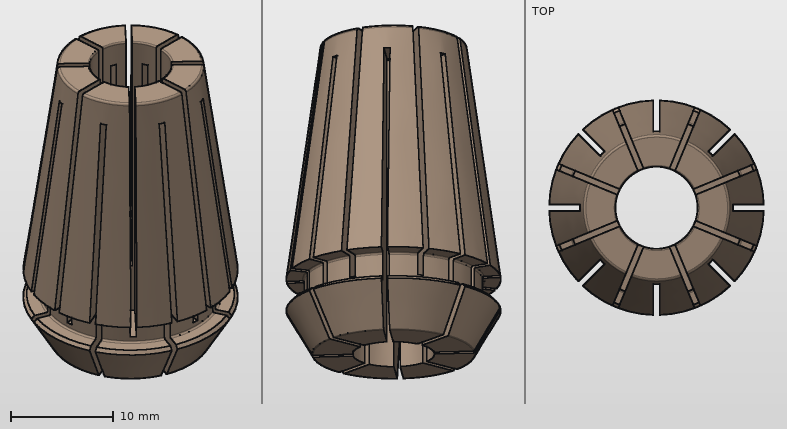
import cadquery as cq
import math

length = 31.5
outer_radius = 10.5
bore_radius = 4.0

body_half_angle = 8.0
nose_half_angle = 30.0

groove_radius = 8.73
groove_bottom = 4.8
groove_top = 7.65
groove_fillet = 0.2

rim_chamfer = 0.35
top_fillet = 0.25
bottom_fillet = 0.13
bore_fillet = 0.15

slits_per_end = 8
slit_width = 0.6
top_slit_floor = 5.45
bottom_slit_ceiling = 29.0
slit_pitch = 360.0 / slits_per_end

selection_margin = 0.015

rim_height = groove_bottom - rim_chamfer
nose_radius = outer_radius - rim_height * math.tan(math.radians(nose_half_angle))
top_radius = outer_radius - (length - groove_top) * math.tan(math.radians(body_half_angle))


def circle_at(radius, height):
    """Selector for the circular edge about Z with this radius and height."""
    reach = radius + selection_margin
    lowest = (-reach, -reach, height - selection_margin)
    highest = (reach, reach, height + selection_margin)
    return cq.selectors.BoxSelector(lowest, highest, boundingbox=True)


def turned_body():
    """Bored double cone with the extraction groove, revolved about Z."""
    profile = (
        cq.Workplane("XZ")
        .moveTo(0, 0)
        .lineTo(nose_radius, 0)
        .lineTo(outer_radius, rim_height)
        .lineTo(outer_radius - rim_chamfer, groove_bottom)
        .lineTo(groove_radius, groove_bottom)
        .lineTo(groove_radius, groove_top)
        .lineTo(outer_radius, groove_top)
        .lineTo(top_radius, length)
        .lineTo(0, length)
        .close()
    )
    body = profile.revolve(360, (0, 0, 0), (0, 1, 0))
    body = body.edges(circle_at(groove_radius, groove_bottom)).fillet(groove_fillet)
    body = body.edges(circle_at(groove_radius, groove_top)).fillet(groove_fillet)
    body = body.faces(">Z").edges().fillet(top_fillet)
    body = body.faces("<Z").edges().fillet(bottom_fillet)

    bore = cq.Workplane("XY").circle(bore_radius).extrude(length)
    body = body.cut(bore)
    return body.edges(circle_at(bore_radius, length)).fillet(bore_fillet)


def slit_set(bottom, top, first_angle):
    """Radial slits, evenly spaced, spanning the heights bottom to top."""
    bar_length = 2 * (outer_radius + slit_width)
    bar = cq.Workplane("XY", origin=(0, 0, bottom)).rect(bar_length, slit_width).extrude(top - bottom)
    slits = bar.rotate((0, 0, 0), (0, 0, 1), first_angle)
    for index in range(1, slits_per_end // 2):
        angle = first_angle + index * slit_pitch
        slits = slits.union(bar.rotate((0, 0, 0), (0, 0, 1), angle))
    return slits


top_slits = slit_set(top_slit_floor, length, slit_pitch / 2)
bottom_slits = slit_set(0, bottom_slit_ceiling, 0)

result = turned_body().cut(top_slits).cut(bottom_slits)